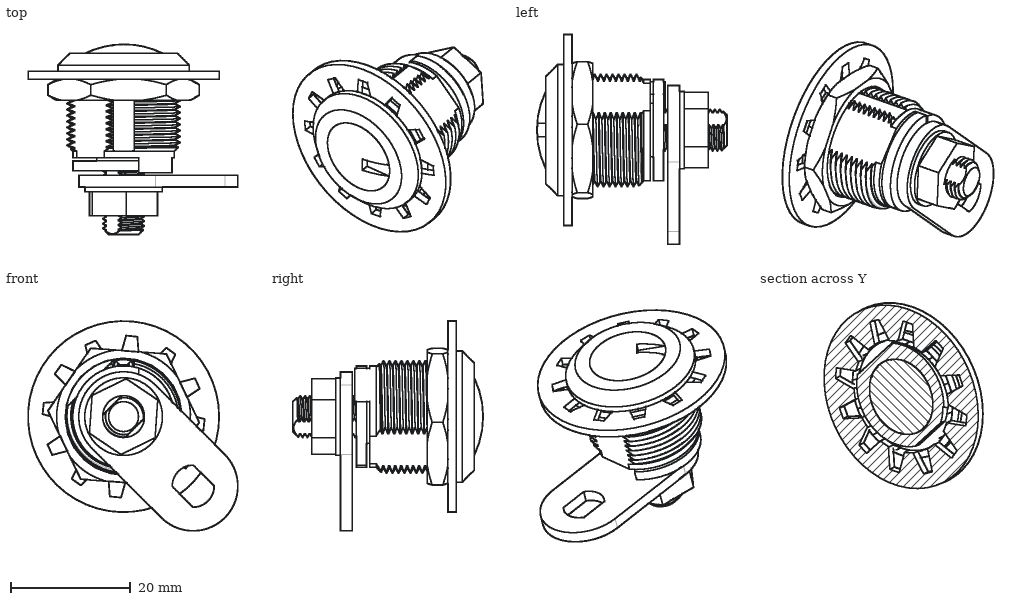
import cadquery as cq
import math


HEAD_RADIUS = 11.0
HEAD_HEIGHT = 3.0
HEAD_CHAMFER = 2.0
DOME_HEIGHT = 1.5
KEY_SLOT_WIDTH = 2.3
KEY_SLOT_END = -1.8

THREAD_RADIUS = 9.5
THREAD_PITCH = 1.0
THREAD_ROOT = 8.7
THREAD_START = 0.93
THREAD_END = 13.4
BARREL_END = 14.5
END_RING_RADIUS = 8.5
BARREL_FLAT = 7.85
KEYWAY_WIDTH = 3.54
KEYWAY_FLOOR = 8.4
KEYWAY_CENTRE_DEPTH = 4.4

LUG_END = 17.0
LUG_EDGE = 2.5

CLAMP_BORE_RADIUS = 9.7
PLATE_RADIUS = 16.0
PLATE_THICKNESS = 1.4
TOOTH_GAP_COUNT = 12
TOOTH_GAP_OUTER = 13.5
TOOTH_GAP_OUTER_WIDTH = 1.86
TOOTH_GAP_SIDE_ANGLE = 10.0
TOOTH_GAP_TURN = 84.2
BIG_NUT_FLATS = 22.0
BIG_NUT_HEIGHT = 3.5
BIG_NUT_FACE_RADIUS = 11.2
BIG_NUT_CHAMFER_ANGLE = 30.0
BIG_NUT_TURN = 55.6

PLUG_RADIUS = 6.5
NECK_RADIUS = 4.5
STOP_DISC_START = 15.0
STOP_DISC_END = 16.7

SHAFT_RADIUS = 3.5
SHAFT_PITCH = 0.8
SHAFT_ROOT = 3.0
SHAFT_THREAD_START = 16.3
SHAFT_END = 27.36
SHAFT_CHAMFER = 1.0
SHAFT_FLAT = 2.65

CAM_START = 17.4
CAM_THICKNESS = 2.0
CAM_RADIUS = 7.5
CAM_LENGTH = 16.45
CAM_TURN = -45.0
CAM_HOLE_FLATS = 5.0
WASHER_RADIUS = 6.5
WASHER_THICKNESS = 0.8
SMALL_NUT_FLATS = 11.0
SMALL_NUT_HEIGHT = 4.0
SMALL_NUT_TURN = 86.0

FLAT_TURN = 135.0

THREAD_EMBED = 0.1
THREAD_GAP = 0.02
CUT_MARGIN = 0.2

PLATE_END = PLATE_THICKNESS
BIG_NUT_END = PLATE_END + BIG_NUT_HEIGHT
CAM_END = CAM_START + CAM_THICKNESS
WASHER_END = CAM_END + WASHER_THICKNESS
SMALL_NUT_END = WASHER_END + SMALL_NUT_HEIGHT


def disc(radius, start, end):
    """Solid cylinder on the lock axis between two depths."""
    return cq.Workplane("XY", origin=(0, 0, start)).circle(radius).extrude(end - start)


def revolved(points):
    """Solid of revolution from (radius, depth) points closed along the lock axis."""
    return cq.Workplane("XZ").polyline(points).close().revolve(360, (0, 0, 0), (0, 1, 0))


def block(x_range, y_range, z_range):
    """Axis-aligned box given by its limits."""
    ranges = (x_range, y_range, z_range)
    size = [high - low for low, high in ranges]
    corner = tuple(low for low, high in ranges)
    return cq.Workplane("XY").box(*size, centered=False).translate(corner)


def hexagon(across_flats, start, end, turn):
    """Hexagonal prism with one corner at the given angle."""
    corner_diameter = across_flats / math.cos(math.pi / 6)
    prism = cq.Workplane("XY", origin=(0, 0, start)).polygon(6, corner_diameter).extrude(end - start)
    return prism.rotate((0, 0, 0), (0, 0, 1), turn)


def two_flats(flat_distance, radius, start, end):
    """Bar that leaves two opposite flats when intersected with a round of this radius."""
    bar = block((-flat_distance, flat_distance), (-radius, radius), (start, end))
    return bar.rotate((0, 0, 0), (0, 0, 1), FLAT_TURN)


def thread_ridge(crest, root, pitch, start, end):
    """Right-handed V ridge whose crest crosses the +x side at the start depth."""
    base = root - THREAD_EMBED
    half_base = (pitch - THREAD_GAP) / 2
    path = cq.Wire.makeHelix(pitch, end - start, root, cq.Vector(0, 0, start))
    profile = cq.Workplane("XZ").polyline(
        [(base, start - half_base), (crest, start), (base, start + half_base)]
    ).close()
    return profile.sweep(cq.Workplane(obj=path), isFrenet=True)


def threaded_rod(crest, root, pitch, thread_start, start, end):
    """Core with a helical ridge; both run past the end depth so that they can be trimmed."""
    ridge = thread_ridge(crest, root, pitch, thread_start, end + pitch)
    return disc(root, start, end + 2 * pitch).union(ridge)


def make_head():
    top_radius = HEAD_RADIUS - HEAD_CHAMFER
    return revolved([
        (0, 0), (HEAD_RADIUS, 0), (HEAD_RADIUS, HEAD_CHAMFER - HEAD_HEIGHT),
        (top_radius, -HEAD_HEIGHT), (0, -HEAD_HEIGHT),
    ])


def make_barrel():
    """Threaded barrel with a run-out chamfer, two flats, a keyway and the plain end ring."""
    rod = threaded_rod(THREAD_RADIUS, THREAD_ROOT, THREAD_PITCH, THREAD_START, 0, THREAD_END)
    ring = disc(END_RING_RADIUS, THREAD_END, BARREL_END)
    outer = THREAD_RADIUS + CUT_MARGIN
    runout = outer - END_RING_RADIUS
    envelope = revolved([
        (0, 0), (outer, 0), (outer, THREAD_END - runout),
        (END_RING_RADIUS - CUT_MARGIN, THREAD_END + CUT_MARGIN), (0, THREAD_END + CUT_MARGIN),
    ])
    flats = two_flats(BARREL_FLAT, outer, 0, BARREL_END)
    barrel = rod.intersect(envelope).intersect(flats).union(ring.intersect(flats))
    return barrel.cut(make_keyway())


def make_keyway():
    """Milled groove along the top of the thread with a round end beneath the clamping nut."""
    half_width = KEYWAY_WIDTH / 2
    groove = block(
        (-half_width, half_width), (KEYWAY_FLOOR, THREAD_RADIUS), (KEYWAY_CENTRE_DEPTH, THREAD_END)
    )
    round_end = (
        cq.Workplane("XZ", origin=(0, THREAD_RADIUS, 0))
        .center(0, KEYWAY_CENTRE_DEPTH).circle(half_width).extrude(THREAD_RADIUS - KEYWAY_FLOOR)
    )
    return groove.union(round_end)


def make_lug():
    """Ring segment that limits the turn of the stop disc."""
    ring = disc(END_RING_RADIUS, BARREL_END, LUG_END)
    segment = block((LUG_EDGE, END_RING_RADIUS), (LUG_EDGE, END_RING_RADIUS), (BARREL_END, LUG_END))
    return ring.intersect(segment)


def make_lock_plate():
    """Round plate whose bore is ringed with teeth, separated by gaps that narrow outward."""
    plate = disc(PLATE_RADIUS, 0, PLATE_END)
    outer_half = TOOTH_GAP_OUTER_WIDTH / 2
    spread = (TOOTH_GAP_OUTER - CLAMP_BORE_RADIUS) * math.tan(math.radians(TOOTH_GAP_SIDE_ANGLE))
    inner_half = outer_half + spread
    gap = cq.Workplane("XY").polyline([
        (CLAMP_BORE_RADIUS, -inner_half), (TOOTH_GAP_OUTER, -outer_half),
        (TOOTH_GAP_OUTER, outer_half), (CLAMP_BORE_RADIUS, inner_half),
    ]).close().extrude(PLATE_THICKNESS)
    for index in range(TOOTH_GAP_COUNT):
        angle = TOOTH_GAP_TURN + index * 360 / TOOTH_GAP_COUNT
        plate = plate.cut(gap.rotate((0, 0, 0), (0, 0, 1), angle))
    return plate.cut(disc(CLAMP_BORE_RADIUS, 0, PLATE_END))


def make_big_nut():
    """Clamping nut with conical chamfers on both faces."""
    corner_radius = BIG_NUT_FLATS / 2 / math.cos(math.pi / 6)
    drop = (corner_radius - BIG_NUT_FACE_RADIUS) * math.tan(math.radians(BIG_NUT_CHAMFER_ANGLE))
    envelope = revolved([
        (0, PLATE_END), (BIG_NUT_FACE_RADIUS, PLATE_END), (corner_radius, PLATE_END + drop),
        (corner_radius, BIG_NUT_END - drop), (BIG_NUT_FACE_RADIUS, BIG_NUT_END), (0, BIG_NUT_END),
    ])
    nut = hexagon(BIG_NUT_FLATS, PLATE_END, BIG_NUT_END, BIG_NUT_TURN).intersect(envelope)
    return nut.cut(disc(CLAMP_BORE_RADIUS, PLATE_END, BIG_NUT_END))


def make_housing():
    """Head, barrel and lug with the clamped plate and nut, bored through for the plug."""
    collar = make_head().union(make_lock_plate()).union(make_big_nut())
    housing = collar.union(make_barrel().union(make_lug()))
    return housing.cut(disc(PLUG_RADIUS, -HEAD_HEIGHT, LUG_END))


def make_dome():
    """Shallow spherical cap with a blind key slot open at its -x rim."""
    top = -HEAD_HEIGHT - DOME_HEIGHT
    sphere_radius = (PLUG_RADIUS**2 + DOME_HEIGHT**2) / (2 * DOME_HEIGHT)
    cap = disc(PLUG_RADIUS, top, -HEAD_HEIGHT)
    cap = cap.intersect(cq.Workplane("XY").sphere(sphere_radius).translate((0, 0, top + sphere_radius)))
    half_slot = KEY_SLOT_WIDTH / 2
    return cap.cut(block((-PLUG_RADIUS, KEY_SLOT_END), (-half_slot, half_slot), (top, -HEAD_HEIGHT)))


def make_stop_disc():
    """Disc cut straight along the side that meets the lug."""
    blank = disc(END_RING_RADIUS, STOP_DISC_START, STOP_DISC_END)
    kept = block(
        (-END_RING_RADIUS, LUG_EDGE), (-END_RING_RADIUS, END_RING_RADIUS), (STOP_DISC_START, STOP_DISC_END)
    )
    return blank.intersect(kept)


def make_shaft():
    """Threaded shaft with two flats and a chamfered tip."""
    start = STOP_DISC_END
    rod = threaded_rod(SHAFT_RADIUS, SHAFT_ROOT, SHAFT_PITCH, SHAFT_THREAD_START, start, SHAFT_END)
    outer = SHAFT_RADIUS + CUT_MARGIN
    envelope = revolved([
        (0, start), (outer, start), (outer, SHAFT_END - SHAFT_CHAMFER - CUT_MARGIN),
        (SHAFT_RADIUS - SHAFT_CHAMFER, SHAFT_END), (0, SHAFT_END),
    ])
    return rod.intersect(envelope.intersect(two_flats(SHAFT_FLAT, outer, start, SHAFT_END)))


def make_cam():
    """Round-ended arm with a double-flat hole at its free end."""
    plane = cq.Workplane("XY", origin=(0, 0, CAM_START))
    width = 2 * CAM_RADIUS
    arm = plane.center(CAM_LENGTH / 2, 0).slot2D(CAM_LENGTH + width, width).extrude(CAM_THICKNESS)
    half_flats = CAM_HOLE_FLATS / 2
    hole = disc(SHAFT_RADIUS, CAM_START, CAM_END).intersect(
        block((-SHAFT_RADIUS, SHAFT_RADIUS), (-half_flats, half_flats), (CAM_START, CAM_END))
    )
    arm = arm.cut(hole.translate((CAM_LENGTH, 0, 0)))
    return arm.rotate((0, 0, 0), (0, 0, 1), CAM_TURN)


def make_plug():
    """Turning part: dome, core, neck, stop disc and shaft with the fastened cam."""
    plug = disc(PLUG_RADIUS, -HEAD_HEIGHT, BARREL_END).union(make_dome())
    plug = plug.union(disc(NECK_RADIUS, BARREL_END, STOP_DISC_START)).union(make_stop_disc())
    fasteners = disc(WASHER_RADIUS, CAM_END, WASHER_END)
    fasteners = fasteners.union(hexagon(SMALL_NUT_FLATS, WASHER_END, SMALL_NUT_END, SMALL_NUT_TURN))
    bore = disc(SHAFT_RADIUS, CAM_END, SMALL_NUT_END)
    clearance = bore.cut(two_flats(SHAFT_FLAT, SHAFT_RADIUS + CUT_MARGIN, CAM_END, SMALL_NUT_END))
    fastened = make_cam().union(fasteners.cut(clearance))
    return plug.union(make_shaft().union(fastened))


def stand_up(body):
    """Turn the depth axis onto -Y."""
    return body.rotate((0, 0, 0), (1, 0, 0), 90)


housing = stand_up(make_housing())
plug = stand_up(make_plug())

result = cq.Compound.makeCompound([housing.solids().val(), plug.solids().val()])